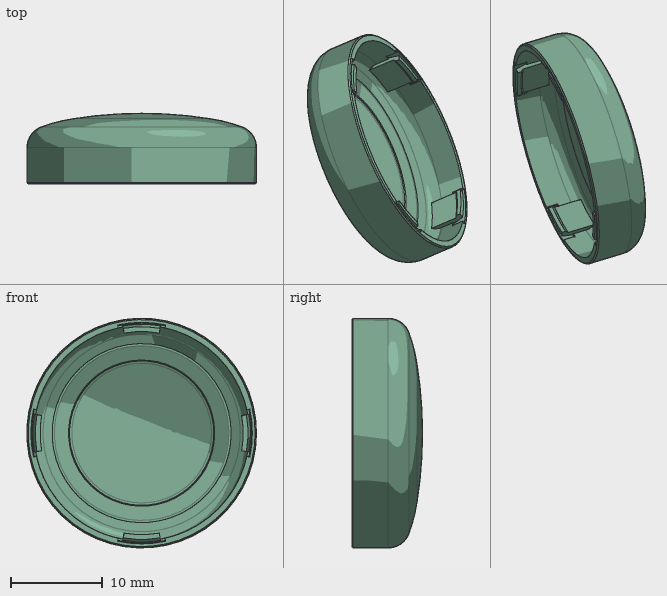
import cadquery as cq
import math


OUTER_RADIUS = 12.5
HEIGHT = 7.7
RIM_CHAMFER = 0.15
WALL_TOP = 3.95
SHOULDER_RADIUS = 10.96
SHOULDER_TOP = 6.2
CROWN_RADIUS = 7.5
CROWN_TOP = 7.1
CROWN_ARC_RADIUS = 17.0

INNER_RADIUS = 11.72
INNER_WALL_TOP = 2.77
INNER_FILLET_RADIUS = 10.73
INNER_FILLET_TOP = 4.2
LEDGE_OUTER_RADIUS = 9.74
LEDGE_INNER_RADIUS = 9.5
LEDGE_DEPTH = 4.65
SEAT_OUTER_RADIUS = 7.95
SEAT_OUTER_DEPTH = 5.1
SEAT_INNER_RADIUS = 7.85
SEAT_DEPTH = 5.2
INNER_DOME_RADIUS = 7.6
INNER_DOME_EDGE_DEPTH = 5.25
INNER_APEX_DEPTH = 5.85

CLIP_COUNT = 4
CLIP_ANGLE = 20.0
NOTCH_ANGLE = 25.0
NOTCH_RIM_RADIUS = 12.05
NOTCH_FLOOR_RADIUS = 11.96
NOTCH_DEPTH = 1.3
CLIP_FRONT = 0.0
CLIP_LIP_RADIUS = 11.05
CLIP_LIP_HEIGHT = 0.27
CLIP_LIP_END = 0.45
CLIP_FRONT_OUTER_RADIUS = 11.57
CLIP_ROOT_OUTER_RADIUS = 11.85
CLIP_BACK = 4.2


def arc_middle(start, end, radius):
    """Middle point of an arc from start to end that bulges outward and upward."""
    chord_x = end[0] - start[0]
    chord_y = end[1] - start[1]
    chord = math.hypot(chord_x, chord_y)
    rise = radius - math.sqrt(radius**2 - chord**2 / 4)
    middle_x = (start[0] + end[0]) / 2
    middle_y = (start[1] + end[1]) / 2
    return (middle_x + chord_y / chord * rise, middle_y - chord_x / chord * rise)


def tangent_radius(start, end):
    """Radius of an arc that leaves start along +Y and reaches end."""
    inset = start[0] - end[0]
    rise = end[1] - start[1]
    return (inset**2 + rise**2) / (2 * inset)


def dome_radius(edge_radius, rise):
    """Sphere radius of a dome with the given edge radius and rise."""
    return (edge_radius**2 + rise**2) / (2 * rise)


def revolve_about_y(profile, angle=360.0):
    """Close the profile and turn it about the cap axis."""
    return profile.close().revolve(angle, (0, 0, 0), (0, 1, 0))


def make_outside():
    wall_end = (OUTER_RADIUS, WALL_TOP)
    shoulder_end = (SHOULDER_RADIUS, SHOULDER_TOP)
    crown_end = (CROWN_RADIUS, CROWN_TOP)
    apex = (0, HEIGHT)
    shoulder_arc = tangent_radius(wall_end, shoulder_end)
    dome_arc = dome_radius(CROWN_RADIUS, HEIGHT - CROWN_TOP)
    profile = (
        cq.Workplane("XY")
        .moveTo(0, 0)
        .lineTo(OUTER_RADIUS - RIM_CHAMFER, 0)
        .lineTo(OUTER_RADIUS, RIM_CHAMFER)
        .lineTo(*wall_end)
        .threePointArc(arc_middle(wall_end, shoulder_end, shoulder_arc), shoulder_end)
        .threePointArc(arc_middle(shoulder_end, crown_end, CROWN_ARC_RADIUS), crown_end)
        .threePointArc(arc_middle(crown_end, apex, dome_arc), apex)
    )
    return revolve_about_y(profile)


def make_cavity():
    wall_end = (INNER_RADIUS, INNER_WALL_TOP)
    fillet_end = (INNER_FILLET_RADIUS, INNER_FILLET_TOP)
    dome_edge = (INNER_DOME_RADIUS, INNER_DOME_EDGE_DEPTH)
    apex = (0, INNER_APEX_DEPTH)
    fillet_arc = tangent_radius(wall_end, fillet_end)
    dome_arc = dome_radius(INNER_DOME_RADIUS, INNER_APEX_DEPTH - INNER_DOME_EDGE_DEPTH)
    profile = (
        cq.Workplane("XY")
        .moveTo(0, 0)
        .lineTo(INNER_RADIUS, 0)
        .lineTo(*wall_end)
        .threePointArc(arc_middle(wall_end, fillet_end, fillet_arc), fillet_end)
        .lineTo(LEDGE_OUTER_RADIUS, LEDGE_DEPTH)
        .lineTo(LEDGE_INNER_RADIUS, LEDGE_DEPTH)
        .lineTo(SEAT_OUTER_RADIUS, SEAT_OUTER_DEPTH)
        .lineTo(SEAT_INNER_RADIUS, SEAT_DEPTH)
        .lineTo(*dome_edge)
        .threePointArc(arc_middle(dome_edge, apex, dome_arc), apex)
    )
    return revolve_about_y(profile)


def centred_sector(profile, angle):
    """Revolve a profile through the angle, centred on the +X direction."""
    return revolve_about_y(profile, angle).rotate((0, 0, 0), (0, 1, 0), -angle / 2)


def make_notch():
    profile = (
        cq.Workplane("XY")
        .moveTo(CLIP_LIP_RADIUS, 0)
        .lineTo(NOTCH_RIM_RADIUS, 0)
        .lineTo(NOTCH_FLOOR_RADIUS, NOTCH_DEPTH)
        .lineTo(CLIP_LIP_RADIUS, NOTCH_DEPTH)
    )
    return centred_sector(profile, NOTCH_ANGLE)


def make_clip():
    body_radius = CLIP_LIP_RADIUS + CLIP_LIP_HEIGHT
    profile = (
        cq.Workplane("XY")
        .moveTo(CLIP_LIP_RADIUS, CLIP_FRONT)
        .lineTo(CLIP_FRONT_OUTER_RADIUS, CLIP_FRONT)
        .lineTo(CLIP_ROOT_OUTER_RADIUS, NOTCH_DEPTH)
        .lineTo(CLIP_ROOT_OUTER_RADIUS, CLIP_BACK)
        .lineTo(body_radius, CLIP_BACK)
        .lineTo(body_radius, CLIP_LIP_END + CLIP_LIP_HEIGHT)
        .lineTo(CLIP_LIP_RADIUS, CLIP_LIP_END)
    )
    return centred_sector(profile, CLIP_ANGLE)


def add_clips(cap):
    notch = make_notch()
    clip = make_clip()
    for index in range(CLIP_COUNT):
        turn = index * 360.0 / CLIP_COUNT
        cap = cap.cut(notch.rotate((0, 0, 0), (0, 1, 0), turn))
        cap = cap.union(clip.rotate((0, 0, 0), (0, 1, 0), turn))
    return cap


result = add_clips(make_outside().cut(make_cavity()))